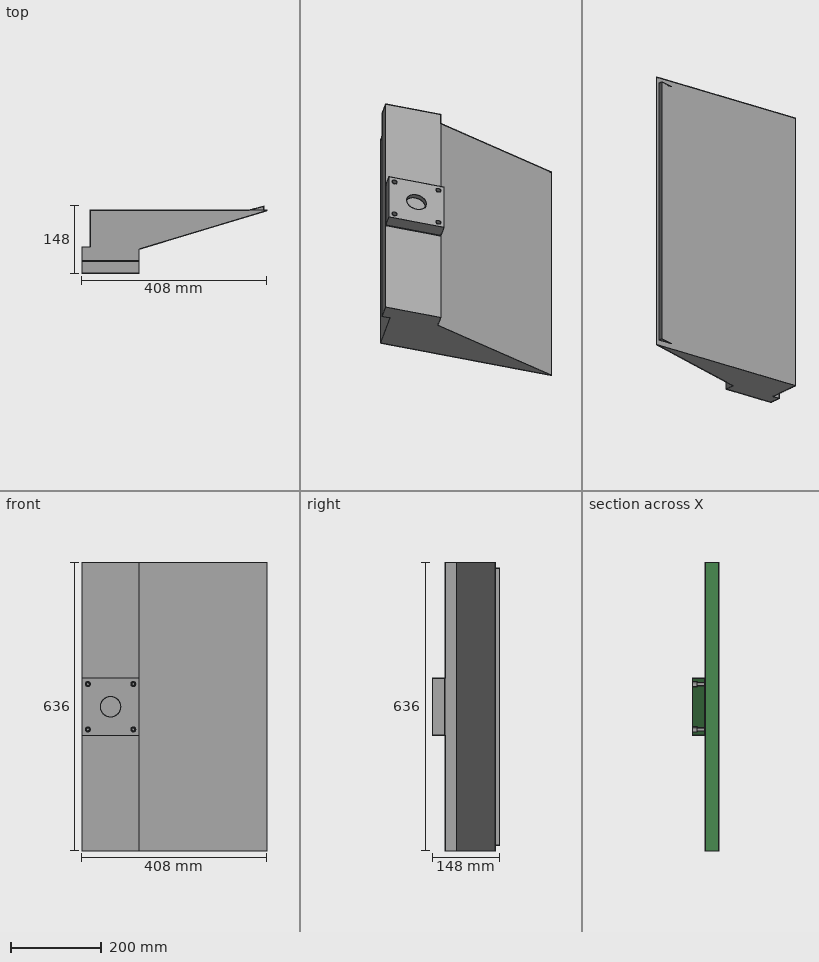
import cadquery as cq

overall_width = 408.0
height = 636.0

flange_size = 126.0
flange_thickness = 26.0
gasket_thickness = 2.0
recess_diameter = 45.0
recess_depth = 10.0
bolt_spacing = 100.0
bolt_hole_diameter = 6.6
counterbore_diameter = 11.0
counterbore_depth = 10.0

neck_width = flange_size
neck_front_y = flange_thickness + gasket_thickness
back_y = 139.0
shoulder_inset = 18.0
shoulder_y = 58.0
slope_start_y = 53.0
tip_thickness = 1.0

rib_back_y = 148.0
rib_length = 34.0
rib_tip_setback = 7.0
rib_end_inset = 12.5
rib_height = height - 2 * rib_end_inset


def extrude_along_height(outline, length):
    """Extrude a closed XY outline, centred on Z = 0."""
    return cq.Workplane("XY").polyline(outline).close().extrude(length / 2, both=True)


def make_housing():
    """Solid wedge-shaped housing with a stepped neck and a tapered back rib."""
    body = extrude_along_height(
        [
            (0, neck_front_y),
            (neck_width, neck_front_y),
            (neck_width, slope_start_y),
            (overall_width, back_y - tip_thickness),
            (overall_width, back_y),
            (shoulder_inset, back_y),
            (shoulder_inset, shoulder_y),
            (0, shoulder_y),
        ],
        height,
    )
    rib_end_x = overall_width - rib_tip_setback
    rib = extrude_along_height(
        [
            (rib_end_x - rib_length, back_y),
            (rib_end_x, back_y),
            (rib_end_x, rib_back_y),
        ],
        rib_height,
    )
    return body.union(rib)


def make_square_plate(front_y, thickness):
    """Plain square plate whose front face lies at front_y."""
    face = cq.Workplane("XZ", origin=(flange_size / 2, front_y, 0))
    return face.rect(flange_size, flange_size).extrude(-thickness)


def make_flange():
    """Square flange with a blind central recess and four counterbored bolt holes."""
    plate = make_square_plate(0, flange_thickness)
    face = cq.Workplane("XZ", origin=(flange_size / 2, 0, 0))
    recess = face.circle(recess_diameter / 2).extrude(-recess_depth)
    bolt_places = face.rect(bolt_spacing, bolt_spacing, forConstruction=True).vertices()
    bolt_holes = bolt_places.circle(bolt_hole_diameter / 2).extrude(-flange_thickness)
    counterbores = bolt_places.circle(counterbore_diameter / 2).extrude(-counterbore_depth)
    return plate.cut(recess).cut(bolt_holes).cut(counterbores)


housing = make_housing()
gasket = make_square_plate(flange_thickness, gasket_thickness)
flange = make_flange()

result = cq.Compound.makeCompound([housing.val(), gasket.val(), flange.val()])